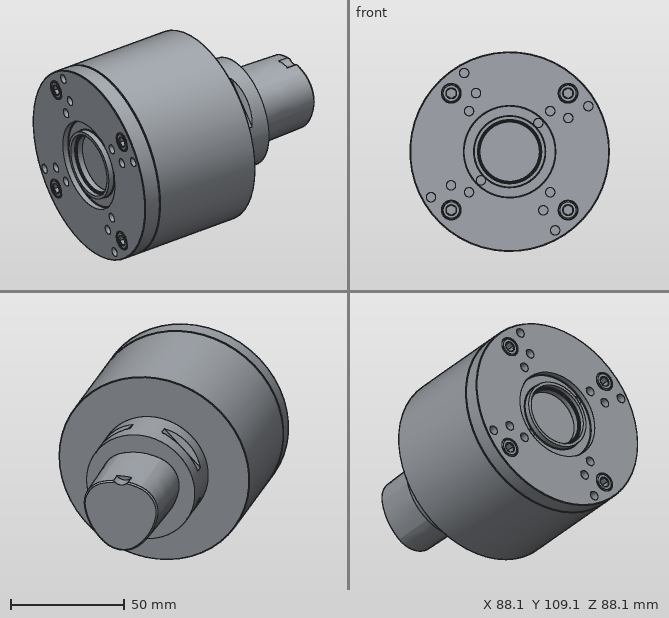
import cadquery as cq
import math

total_length = 109.1
shank_length = 30.0
collar_length = 20.2
plate_thickness = 8.0
shank_base = total_length - shank_length
body_back = shank_base - collar_length

body_diameter = 88.1
body_radius = body_diameter / 2
collar_radius = 25.0
edge_break = 0.3

groove_outer_radius = 20.4
groove_inner_radius = 15.6
groove_depth = 3.0
pocket_radius = 14.2
pocket_step_depth = 2.4
pocket_floor_radius = 13.1
pocket_depth = 5.5

pin_hole_radius = 2.1
pin_hole_depth = plate_thickness
groove_pin_offset = 12.7
groove_pin_depth = 2.1
quarter_pattern = [(20.1, 34.7), (14.8, 25.9), (17.9, 17.9)]

screw_offset = 25.8
counterbore_radius = 4.4
counterbore_depth = 5.5
head_radius = 4.1
head_chamfer = 0.5
socket_sides = 6
socket_across_flats = 4.0
socket_mouth_radius = 2.4
socket_depth = 4.4

lobe_count = 3
lobe_reach = 18.5
flat_reach = 16.6
lobe_centre = 5.8
lobe_radius = lobe_reach - lobe_centre
shank_slope = 1 / 40
shank_chamfer = 0.7
reach_gap = flat_reach - lobe_radius
flat_centre = (lobe_centre**2 - reach_gap**2) / (2 * reach_gap - lobe_centre)
flat_radius = flat_reach + flat_centre

notch_width = 7.0
notch_length = 5.5
notch_depth = 1.7

slot_floor_width = 3.7
slot_floor_distance = 22.0
slot_side_slope = 0.5
slot_centre = shank_base - collar_length / 2


def polar(radius, degrees):
    angle = math.radians(degrees)
    return (radius * math.cos(angle), radius * math.sin(angle))


def front_plane(depth=0.0):
    """Plane facing +Y at the given depth, with local x = -X and local y = Z."""
    return cq.Workplane(cq.Plane((0, depth, 0), (-1, 0, 0), (0, 1, 0)))


def revolve_about_y(points):
    return cq.Workplane("XY").polyline(points).close().revolve(360, (0, 0), (0, 1))


def turned_body():
    """Front plate, main body and collar, with a V groove where plate and body meet."""
    rim = body_radius - edge_break
    return revolve_about_y([
        (0, 0),
        (rim, 0),
        (body_radius, edge_break),
        (body_radius, plate_thickness - edge_break),
        (rim, plate_thickness),
        (body_radius, plate_thickness + edge_break),
        (body_radius, body_back - edge_break),
        (rim, body_back),
        (collar_radius, body_back),
        (collar_radius, shank_base),
        (0, shank_base),
    ])


def shank():
    """Taper bounded by alternating flat arcs and lobe arcs: a flat arc faces +Z, a lobe faces -Z."""
    pitch = 360 / lobe_count
    tilt_sine = lobe_centre * math.sin(math.radians(pitch / 2)) / (flat_radius - lobe_radius)
    join_x = flat_radius * tilt_sine
    join_z = math.sqrt(flat_radius**2 - join_x**2) - flat_centre
    join_radius = math.hypot(join_x, join_z)
    half_flat = math.degrees(math.atan2(join_x, join_z))

    outline = front_plane(shank_base).moveTo(*polar(join_radius, 90 - half_flat))
    for index in range(lobe_count):
        flat_angle = 90 + index * pitch
        next_flat_angle = flat_angle + pitch
        lobe_angle = flat_angle + pitch / 2
        outline = outline.threePointArc(
            polar(flat_reach, flat_angle), polar(join_radius, flat_angle + half_flat))
        outline = outline.threePointArc(
            polar(lobe_reach, lobe_angle), polar(join_radius, next_flat_angle - half_flat))
    taper = outline.close().extrude(shank_length, taper=math.degrees(math.atan(shank_slope)))
    return taper.faces(">Y").chamfer(shank_chamfer)


def key_notch():
    """Round-bottomed notch in the middle of the upper flat, open at the shank end."""
    half_width = notch_width / 2
    radius = (half_width**2 + notch_depth**2) / (2 * notch_depth)
    end_flat_reach = flat_reach - shank_length * shank_slope
    centre_z = end_flat_reach - notch_depth + radius
    return front_plane(total_length - notch_length).center(0, centre_z).circle(radius).extrude(notch_length)


def face_groove():
    """Ring groove in the front face with chamfered floor corners."""
    outer = groove_outer_radius
    inner = groove_inner_radius
    return revolve_about_y([
        (inner, 0),
        (outer, 0),
        (outer, groove_depth - edge_break),
        (outer - edge_break, groove_depth),
        (inner + edge_break, groove_depth),
        (inner, groove_depth - edge_break),
    ])


def central_pocket():
    """Stepped round pocket with chamfers at the step."""
    return revolve_about_y([
        (0, 0),
        (pocket_radius, 0),
        (pocket_radius, pocket_step_depth - edge_break),
        (pocket_radius - edge_break, pocket_step_depth),
        (pocket_floor_radius + edge_break, pocket_step_depth),
        (pocket_floor_radius, pocket_step_depth + edge_break),
        (pocket_floor_radius, pocket_depth),
        (0, pocket_depth),
    ])


def pin_holes():
    """Blind holes through the front plate, and two shallow ones in the groove floor."""
    plate_points = []
    for u, v in quarter_pattern:
        plate_points += [(u, v), (-v, u), (-u, -v), (v, -u)]
    holes = front_plane().pushPoints(plate_points).circle(pin_hole_radius).extrude(pin_hole_depth)
    groove_points = [(-groove_pin_offset, groove_pin_offset), (groove_pin_offset, -groove_pin_offset)]
    groove_holes = front_plane(groove_depth - edge_break).pushPoints(groove_points)
    return holes.union(groove_holes.circle(pin_hole_radius).extrude(edge_break + groove_pin_depth))


def screw_gaps():
    """Material removed to leave a cap screw head sunk in each counterbore."""
    bore = front_plane().circle(counterbore_radius).extrude(counterbore_depth)
    head = front_plane().circle(head_radius).extrude(counterbore_depth).faces("<Y").chamfer(head_chamfer)
    pitch = 360 / socket_sides
    corner_radius = socket_across_flats / 2 / math.cos(math.radians(pitch / 2))
    hexagon = [polar(corner_radius, (index + 0.5) * pitch) for index in range(socket_sides)]
    socket = front_plane().polyline(hexagon).close().extrude(socket_depth)
    mouth = revolve_about_y([(0, 0), (socket_mouth_radius, 0), (0, socket_mouth_radius)])
    gap = bore.cut(head).union(socket).union(mouth)
    gaps = cq.Workplane("XY")
    for x in (-screw_offset, screw_offset):
        for z in (-screw_offset, screw_offset):
            gaps = gaps.union(gap.translate((x, 0, z)))
    return gaps


def gripper_slots():
    """Four trapezoidal slots across the collar, on the diagonals."""
    height = collar_radius - slot_floor_distance
    half_floor = slot_floor_width / 2
    half_mouth = half_floor + slot_side_slope * height
    profile = [
        (slot_floor_distance, slot_centre - half_floor),
        (slot_floor_distance, slot_centre + half_floor),
        (collar_radius, slot_centre + half_mouth),
        (collar_radius, slot_centre - half_mouth),
    ]
    slot = cq.Workplane("XY").polyline(profile).close().extrude(collar_radius, both=True)
    slots = cq.Workplane("XY")
    for angle in (45, 135, 225, 315):
        slots = slots.union(slot.rotate((0, 0, 0), (0, 1, 0), angle))
    return slots


result = turned_body().cut(gripper_slots())
result = result.union(shank()).cut(key_notch())
result = result.cut(face_groove()).cut(central_pocket())
result = result.cut(pin_holes()).cut(screw_gaps())